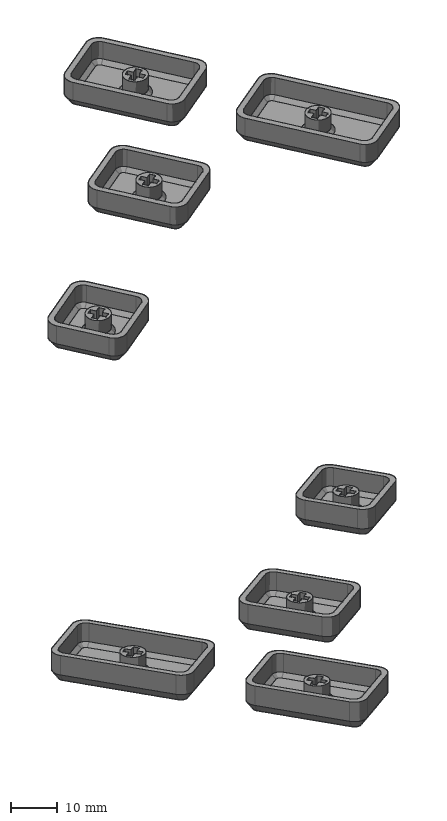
import cadquery as cq

overall_x = 71.7
overall_y = 106.0

cap_height = 6.7
cap_depth = 18.0
key_pitch = 19.2
width_step = key_pitch / 4
wall = 1.4
corner_radius = 3.0
edge_inset = 1.5
edge_rise = 2.0

floor_thickness = 1.3
cavity_corner_radius = 1.9
cavity_bevel = 1.0

stem_diameter = 5.6
stem_top = 5.7
stem_flare = 0.8
cross_length = 4.1
cross_x_arm = 1.3
cross_y_arm = 1.4


def cap_width(steps):
    """X size of a cap that is a number of size steps wider than the square one."""
    return cap_depth + steps * width_step


def make_shell(width):
    """Rounded tray: bevelled outer block minus a bevelled cavity."""
    block = (
        cq.Workplane("XY")
        .box(width, cap_depth, cap_height, centered=(True, True, False))
        .edges("|Z").fillet(corner_radius)
        .faces("<Z").chamfer(edge_rise, edge_inset)
    )
    cavity = (
        cq.Workplane("XY")
        .workplane(offset=floor_thickness)
        .box(width - 2 * wall, cap_depth - 2 * wall, cap_height - floor_thickness,
             centered=(True, True, False))
        .edges("|Z").fillet(cavity_corner_radius)
        .faces("<Z").chamfer(cavity_bevel)
    )
    return block.cut(cavity)


def make_stem():
    """Round post with a conical foot that stands on the cavity floor."""
    radius = stem_diameter / 2
    foot_radius = radius + stem_flare
    return (
        cq.Workplane("XZ")
        .moveTo(0, floor_thickness)
        .lineTo(foot_radius, floor_thickness)
        .lineTo(radius, floor_thickness + stem_flare)
        .lineTo(radius, stem_top)
        .lineTo(0, stem_top)
        .close()
        .revolve(360, (0, 0, 0), (0, 1, 0))
    )


def make_cross():
    """Cross-shaped socket, from the stem's end face down to the cavity floor."""
    depth = stem_top - floor_thickness
    base = cq.Workplane("XY").workplane(offset=floor_thickness)
    x_arm = base.box(cross_length, cross_x_arm, depth, centered=(True, True, False))
    y_arm = base.box(cross_y_arm, cross_length, depth, centered=(True, True, False))
    return x_arm.union(y_arm)


def make_keycap(steps, x, y):
    """One complete keycap, centred on (x, y)."""
    shell = make_shell(cap_width(steps))
    return shell.union(make_stem()).cut(make_cross()).translate((x, y, 0))


row_limit = (overall_y - cap_depth) / 2
keycap_layout = [
    (0, 3.8, -row_limit),
    (1, -4.7, 7.0),
    (2, (cap_width(2) - overall_x) / 2, 43.0),
    (3, (overall_x - cap_width(3)) / 2, row_limit),
]

keycaps = [make_keycap(steps, x, y) for steps, x, y in keycap_layout]

result = cq.Compound.makeCompound([keycap.val() for keycap in keycaps])